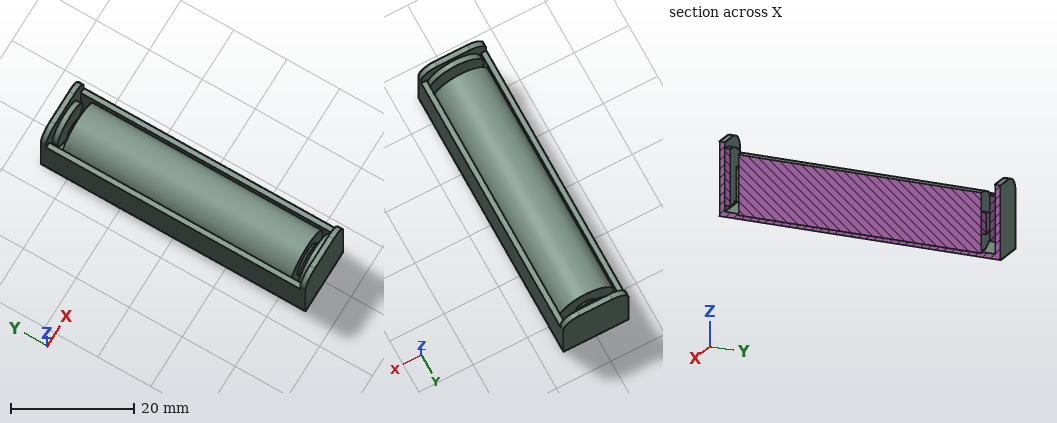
import cadquery as cq

length = 50.0
width = 12.0
plate_height = 13.0
wall_height = 9.0
wall = 1.0
plate_corner_radius = 3.0
inner_end = length / 2 - wall

contact_height = 7.0
contact_thickness = 1.0
front_contact_diameter = 10.0
rear_contact_diameter = 8.0

cell_diameter = 10.5
cell_height = 6.0
cell_front = -21.65
cell_rear = 21.6
negative_cap_diameter = 6.0
negative_cap_length = 0.4
positive_cap_diameter = 3.8
positive_cap_length = 0.9
positive_cap_fillet = 0.1


def rod(diameter, start, end, height):
    """Cylinder along Y, centred on X = 0, between two Y positions."""
    plane = cq.Workplane("XZ", origin=(0, start, height))
    return plane.circle(diameter / 2).extrude(start - end)


def make_housing():
    block = cq.Workplane("XY").box(width, length, plate_height, centered=(True, True, False))
    block = block.edges("|Y and >Z").fillet(plate_corner_radius)
    opening = (
        cq.Workplane("XY", origin=(0, 0, wall_height))
        .box(width, 2 * inner_end, plate_height, centered=(True, True, False))
    )
    cavity = (
        cq.Workplane("XY", origin=(0, 0, wall))
        .box(width - 2 * wall, 2 * inner_end, plate_height, centered=(True, True, False))
    )
    cell_seat = rod(cell_diameter, cell_front, cell_rear, cell_height)
    return block.cut(opening).cut(cavity).cut(cell_seat)


def make_positive_cap():
    cap = rod(positive_cap_diameter, cell_rear, cell_rear + positive_cap_length, cell_height)
    return cap.faces(">Y").edges().fillet(positive_cap_fillet)


housing = make_housing()
front_contact = rod(front_contact_diameter, -inner_end, contact_thickness - inner_end, contact_height)
rear_contact = rod(rear_contact_diameter, inner_end - contact_thickness, inner_end, contact_height)
cell_body = rod(cell_diameter, cell_front, cell_rear, cell_height)
negative_cap = rod(negative_cap_diameter, cell_front - negative_cap_length, cell_front, cell_height)
positive_cap = make_positive_cap()

result = cq.Compound.makeCompound([
    housing.val(),
    front_contact.val(),
    rear_contact.val(),
    cell_body.val(),
    negative_cap.val(),
    positive_cap.val(),
])